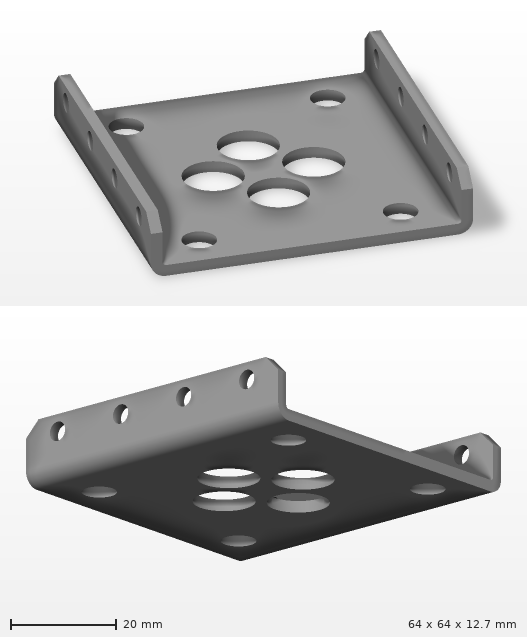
import cadquery as cq

side = 64.0
height = 12.7
sheet = 2.3
inner_bend_radius = 0.7
outer_bend_radius = inner_bend_radius + sheet
flange_chamfer = 3.2

corner_hole_diameter = 6.8
corner_spacing_x = 48.0
corner_spacing_y = 40.0
centre_hole_diameter = 12.0
centre_hole_offset = 10.0

flange_hole_diameter = 3.85
flange_hole_count = 4
flange_hole_pitch = corner_spacing_x / (flange_hole_count - 1)
flange_hole_height = 9.2


def channel():
    """U-shaped sheet with its base on Z = 0 and its bends along X."""
    outer = cq.Workplane("XY").box(side, side, height, centered=(True, True, False))
    outer = outer.edges("|X and <Z").fillet(outer_bend_radius)
    inner = (
        cq.Workplane("XY")
        .workplane(offset=sheet)
        .box(side, side - 2 * sheet, height, centered=(True, True, False))
        .edges("|X and <Z")
        .fillet(inner_bend_radius)
    )
    return outer.cut(inner)


def base_holes():
    """Four corner holes and a diamond of four large central holes."""
    corners = (
        cq.Workplane("XY")
        .rect(corner_spacing_x, corner_spacing_y, forConstruction=True)
        .vertices()
        .circle(corner_hole_diameter / 2)
        .extrude(sheet)
    )
    diamond = (
        cq.Workplane("XY")
        .polarArray(centre_hole_offset, 0, 360, 4)
        .circle(centre_hole_diameter / 2)
        .extrude(sheet)
    )
    return corners.union(diamond)


def flange_holes():
    """Row of holes that passes through both flanges."""
    return (
        cq.Workplane("XZ")
        .center(0, flange_hole_height)
        .rarray(flange_hole_pitch, 0.65, flange_hole_count, 1)
        .circle(flange_hole_diameter / 2)
        .extrude(side / 2, both=True)
    )


bracket = channel().faces(">Z").edges("|Y").chamfer(flange_chamfer)
result = bracket.cut(base_holes()).cut(flange_holes())